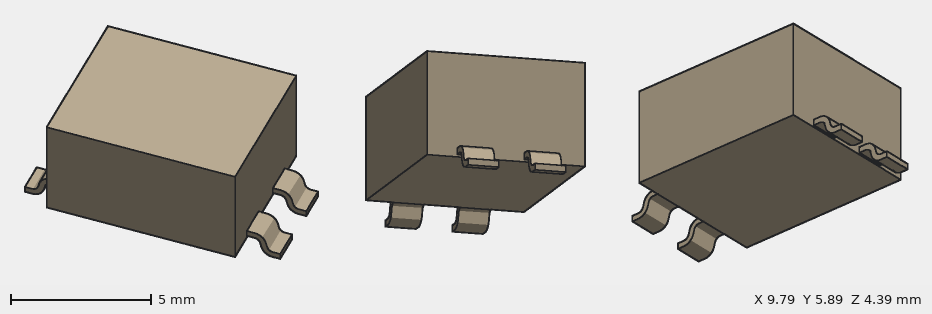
import cadquery as cq
import math

span = 9.79
total_height = 4.39

housing_length = 7.225
housing_width = 5.89
housing_height = 3.8
housing_bottom = total_height - housing_height

lead_width = 1.15
lead_pitch = 2.5
lead_thickness = 0.235
lead_top = 0.91
foot_length = 0.28

bend_radius = 0.34
bend_angle = math.radians(75)
lead_rise = lead_top - lead_thickness
inner_radius = bend_radius - lead_thickness / 2
outer_radius = bend_radius + lead_thickness / 2
bends_rise = 2 * bend_radius * (1 - math.cos(bend_angle))
slope_length = (lead_rise - bends_rise) / math.sin(bend_angle)
bends_run = 2 * bend_radius * math.sin(bend_angle) + slope_length * math.cos(bend_angle)


def make_housing():
    """Plain rectangular block, raised above the soles of the feet."""
    return (
        cq.Workplane("XY")
        .workplane(offset=housing_bottom)
        .rect(housing_length, housing_width)
        .extrude(housing_height)
    )


def make_lead(side, y_center):
    """S-bent strip ending flush against the housing; side is -1 or 1 along X."""
    tip_x = -span / 2
    root_x = -housing_length / 2
    lower_bend_x = tip_x + foot_length
    upper_bend_x = lower_bend_x + bends_run
    lower_center_z = lead_thickness / 2 + bend_radius
    upper_center_z = lead_top - lead_thickness / 2 - bend_radius

    def lower_bend_end(radius):
        """Where the lower bend, curving up from the foot, meets the slope."""
        return (
            lower_bend_x + radius * math.sin(bend_angle),
            lower_center_z - radius * math.cos(bend_angle),
        )

    def upper_bend_end(radius):
        """Where the upper bend, curving down from the root, meets the slope."""
        return (
            upper_bend_x - radius * math.sin(bend_angle),
            upper_center_z + radius * math.cos(bend_angle),
        )

    lead = (
        cq.Workplane("XZ", origin=(0, y_center, 0))
        .moveTo(tip_x, 0)
        .lineTo(lower_bend_x, 0)
        .radiusArc(lower_bend_end(outer_radius), -outer_radius)
        .lineTo(*upper_bend_end(inner_radius))
        .radiusArc((upper_bend_x, lead_rise), inner_radius)
        .lineTo(root_x, lead_rise)
        .lineTo(root_x, lead_top)
        .lineTo(upper_bend_x, lead_top)
        .radiusArc(upper_bend_end(outer_radius), -outer_radius)
        .lineTo(*lower_bend_end(inner_radius))
        .radiusArc((lower_bend_x, lead_thickness), inner_radius)
        .lineTo(tip_x, lead_thickness)
        .close()
        .extrude(lead_width / 2, both=True)
    )
    return lead.mirror("YZ") if side > 0 else lead


housing = make_housing()
leads = [
    make_lead(side, row * lead_pitch / 2)
    for side in (-1, 1)
    for row in (-1, 1)
]

result = cq.Compound.makeCompound([housing.val(), *[lead.val() for lead in leads]])